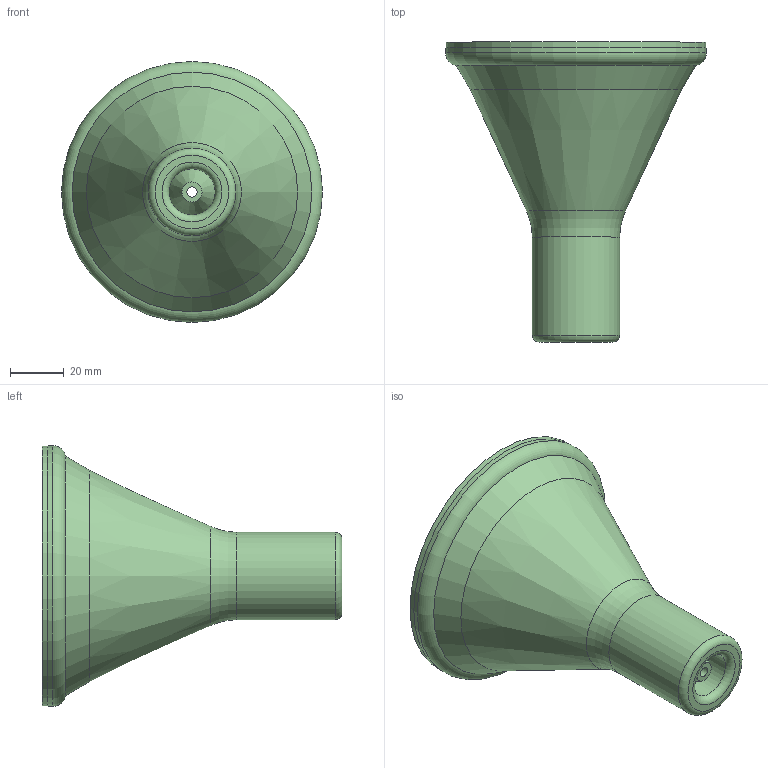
import cadquery as cq
import math

OVERALL_LENGTH = 111.55

BEAD_RADIUS = 97.06 / 2
BEAD_ROUNDING = 4.75
BAND_RADIUS = 48.35
BAND_END = 2.0
BEAD_START = 4.0

FLARE_START_RADIUS = 44.6
FLARE_END = 17.7
FLARE_END_RADIUS = 39.3
CONE_END = 62.8
CONE_END_RADIUS = 18.4

NECK_START = 72.5
NECK_RADIUS = 16.25
MOUTH_FILLET = 2.55

RECESS_RADIUS = 8.6
NOZZLE_TIP_DEPTH = 5.2
NOZZLE_TIP_RADIUS = 3.75
PASSAGE_RADIUS = 1.9

cone_slope = (FLARE_END_RADIUS - CONE_END_RADIUS) / (CONE_END - FLARE_END)
bead_center_radius = BEAD_RADIUS - BEAD_ROUNDING
flare_start_angle = math.acos((FLARE_START_RADIUS - bead_center_radius) / BEAD_ROUNDING)
nozzle_length = (RECESS_RADIUS - NOZZLE_TIP_RADIUS) / cone_slope


def bead_point(angle):
    """Point on the bead's rounding, turned by angle from its widest place toward the neck."""
    return (
        bead_center_radius + BEAD_ROUNDING * math.cos(angle),
        -BEAD_START - BEAD_ROUNDING * math.sin(angle),
    )


def make_body():
    """Solid rim, flare, cone and neck."""
    profile = (
        cq.Workplane("XY")
        .lineTo(BAND_RADIUS, 0)
        .lineTo(BAND_RADIUS, -BAND_END)
        .lineTo(BEAD_RADIUS, -BEAD_START)
        .threePointArc(bead_point(flare_start_angle / 2), bead_point(flare_start_angle))
        .lineTo(FLARE_END_RADIUS, -FLARE_END)
        .lineTo(CONE_END_RADIUS, -CONE_END)
        .tangentArcPoint((NECK_RADIUS, -NECK_START), relative=False)
        .lineTo(NECK_RADIUS, -OVERALL_LENGTH)
        .lineTo(0, -OVERALL_LENGTH)
        .close()
    )
    return profile.revolve(360, (0, 0), (0, 1))


def make_recess():
    """Ring-shaped cavity between the recess wall and the nozzle, open at the mouth."""
    tip = -OVERALL_LENGTH + NOZZLE_TIP_DEPTH
    profile = (
        cq.Workplane("XY")
        .moveTo(0, -OVERALL_LENGTH)
        .lineTo(RECESS_RADIUS, -OVERALL_LENGTH)
        .lineTo(RECESS_RADIUS, tip + nozzle_length)
        .lineTo(NOZZLE_TIP_RADIUS, tip)
        .lineTo(0, tip)
        .close()
    )
    return profile.revolve(360, (0, 0), (0, 1))


def make_passage():
    """Central hole running the whole length."""
    return cq.Workplane("XZ").circle(PASSAGE_RADIUS).extrude(OVERALL_LENGTH)


body = make_body().cut(make_recess())
body = body.faces("<Y").edges().fillet(MOUTH_FILLET)
result = body.cut(make_passage())